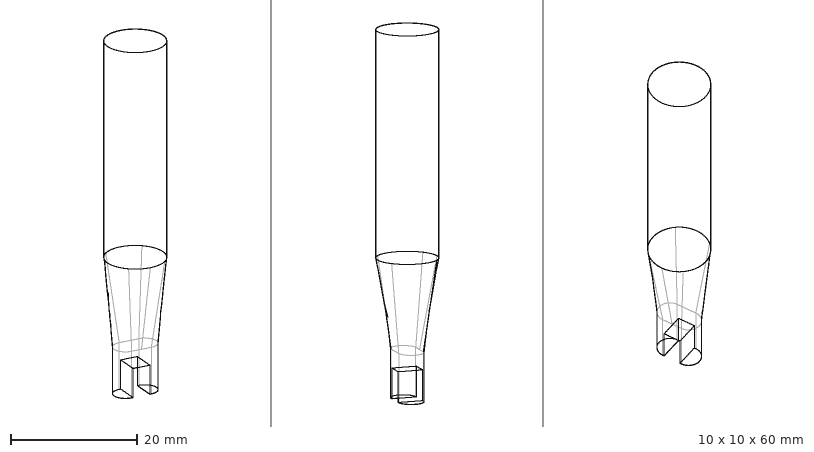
import cadquery as cq

total_length = 60.0
shank_diameter = 10.0
shank_length = 37.0
taper_length = 15.0
slot_depth = 5.0
slot_width = 3.0
blade_width = 7.7
blade_thickness = 4.15

taper_top = total_length - shank_length
blade_top = taper_top - taper_length


def make_shank():
    """Plain round shank that stands on the wide end of the taper."""
    return (
        cq.Workplane("XY", origin=(0, 0, taper_top))
        .circle(shank_diameter / 2)
        .extrude(shank_length)
    )


def make_blade():
    """Straight round-ended blade, wide along Y."""
    return cq.Workplane("XY").slot2D(blade_width, blade_thickness, 90).extrude(blade_top)


def make_taper():
    """Transition from the round-ended blade section to the round shank section."""
    return (
        cq.Workplane("XY", origin=(0, 0, blade_top))
        .slot2D(blade_width, blade_thickness, 90)
        .workplane(offset=taper_length)
        .circle(shank_diameter / 2)
        .loft(ruled=True)
    )


def make_slot():
    """Slot through the blade along X that leaves two prongs."""
    return cq.Workplane("XY").box(
        shank_diameter, slot_width, slot_depth, centered=(True, True, False)
    )


def make_forked_tip():
    """Taper and blade in one piece, with the prong slot cut from below."""
    return make_taper().union(make_blade()).cut(make_slot())


shank = make_shank()
forked_tip = make_forked_tip()

result = cq.Compound.makeCompound([shank.val(), forked_tip.solids().val()])